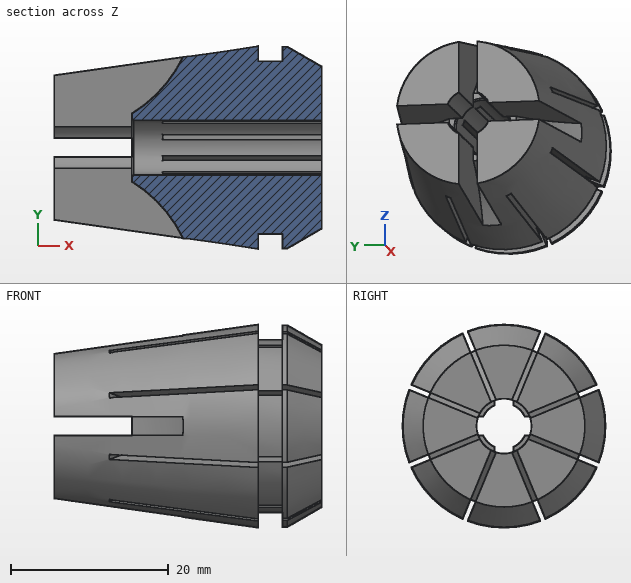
import cadquery as cq
import math

length = 34.0

body_end_x = 25.95
body_end_diameter = 25.8
taper_angle = 8.0
groove_radius = 10.98
rim_start_x = 28.97
rim_radius = 12.82
rim_land = 0.6
nose_angle = 30.0

drive_bore_radius = 2.9
shank_bore_radius = 3.47
shank_mouth_chamfer = 0.2

wide_slot_count = 4
wide_slot_width = 2.38
wide_slot_depth = 9.9
cutter_radius = 17.0
cutter_center_x = 1.02
cutter_center_radius = 18.85

slit_count = 8
slit_width = 0.68
slit_start_x = 7.05
slit_end_slope = 45.0

cut_overrun = 0.35

body_end_radius = body_end_diameter / 2
small_end_radius = body_end_radius - body_end_x * math.tan(math.radians(taper_angle))
nose_start_x = rim_start_x + rim_land
nose_end_radius = rim_radius - (length - nose_start_x) * math.tan(math.radians(nose_angle))
clearance_radius = body_end_radius + cut_overrun


def make_blank():
    """Turned collet with its stepped bore, revolved about X."""
    return (
        cq.Workplane("XZ")
        .moveTo(0, drive_bore_radius)
        .lineTo(0, small_end_radius)
        .lineTo(body_end_x, body_end_radius)
        .lineTo(body_end_x, groove_radius)
        .lineTo(rim_start_x, groove_radius)
        .lineTo(rim_start_x, rim_radius)
        .lineTo(nose_start_x, rim_radius)
        .lineTo(length, nose_end_radius)
        .lineTo(length, shank_bore_radius)
        .lineTo(wide_slot_depth + shank_mouth_chamfer, shank_bore_radius)
        .lineTo(wide_slot_depth, shank_bore_radius + shank_mouth_chamfer)
        .lineTo(wide_slot_depth, drive_bore_radius)
        .close()
        .revolve(360, (0, 0, 0), (1, 0, 0))
    )


def make_wide_slot():
    """Slot above the axis: a straight channel plus the cutter's round run-out."""
    channel = cq.Workplane("XY").box(
        wide_slot_depth, wide_slot_width, clearance_radius, centered=(False, True, False)
    )
    run_out = (
        cq.Workplane("XZ")
        .center(cutter_center_x, cutter_center_radius)
        .circle(cutter_radius)
        .extrude(wide_slot_width / 2, both=True)
    )
    return channel.union(run_out)


def make_slit():
    """Slit above the axis, reaching the bore behind its sloped closed end."""
    start_radius = small_end_radius + slit_start_x * math.tan(math.radians(taper_angle))
    slope_length_x = start_radius / math.tan(math.radians(slit_end_slope))
    return (
        cq.Workplane("XZ")
        .moveTo(slit_start_x, clearance_radius)
        .lineTo(slit_start_x, start_radius)
        .lineTo(slit_start_x + slope_length_x, 0)
        .lineTo(length, 0)
        .lineTo(length, clearance_radius)
        .close()
        .extrude(slit_width / 2, both=True)
    )


def cut_around_axis(body, cutter, count, first_angle):
    """Cut evenly spaced copies of a cutter turned about the X axis."""
    for i in range(count):
        angle = first_angle + i * 360 / count
        body = body.cut(cutter.rotate((0, 0, 0), (1, 0, 0), angle))
    return body


collet = make_blank()
collet = cut_around_axis(collet, make_wide_slot(), wide_slot_count, 0)
result = cut_around_axis(collet, make_slit(), slit_count, 180 / slit_count)